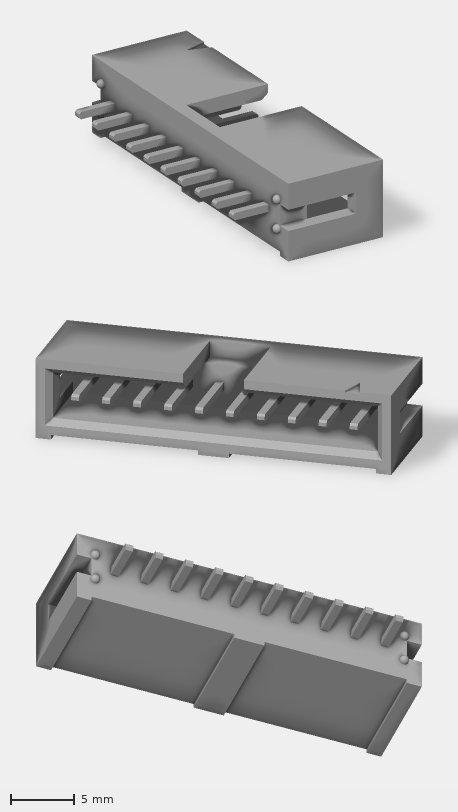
import cadquery as cq


LENGTH = 29.2
DEPTH = 8.82
HEIGHT = 6.35
WALL = 1.25
BASE = 2.55
PITCH = 2.55
PIN_COUNT = 10

FOOT_HEIGHT = 0.38
MIDDLE_FOOT_WIDTH = 2.55

MOUTH_CHAMFER_DEPTH = 0.58
MOUTH_CHAMFER_INSET = 0.5

KEY_SLOT_WIDTH = 5.0
KEY_SLOT_DEPTH = 7.62
KEY_SLOT_CUT = 1.4
WINDOW_HEIGHT = 1.85
WINDOW_MARGIN = 2.55

MARK_WIDTH = 1.23
MARK_LENGTH = 2.05
MARK_DEPTH = 0.18

BUMP_RADIUS = 0.38
BUMP_COLLAR = 0.1
BUMP_INSET = 1.52
BUMP_SPACING = 2.55

TAIL_LENGTH = 3.35
PIN_HEIGHT = 0.65
PIN_WIDTH = 0.65
PIN_SETBACK = 0.25
TIP_CHAMFER = 0.18

HALF_LENGTH = LENGTH / 2
TOP = HEIGHT / 2
BOTTOM = -HEIGHT / 2
CAVITY_LENGTH = LENGTH - 2 * WALL
CAVITY_HEIGHT = HEIGHT - 2 * WALL
PIN_END_Y = DEPTH - PIN_SETBACK
PIN_XS = [(i - (PIN_COUNT - 1) / 2) * PITCH for i in range(PIN_COUNT)]
MIDDLE_PINS = (PIN_COUNT // 2 - 1, PIN_COUNT // 2)
LOOSE_PIN_XS = [PIN_XS[i] for i in MIDDLE_PINS]
FIXED_PIN_XS = [x for i, x in enumerate(PIN_XS) if i not in MIDDLE_PINS]


def block(x_range, y_range, z_range):
    """Axis-aligned box given by its limits on each axis."""
    limits = (x_range, y_range, z_range)
    sizes = [high - low for low, high in limits]
    corner = cq.Vector(*[low for low, high in limits])
    return cq.Workplane("XY").box(*sizes, centered=False).translate(corner)


def span(centre, width):
    """Lower and upper limit of a width laid about a centre."""
    return (centre - width / 2, centre + width / 2)


def make_pin(x):
    """Bar along Y through the base, both tips bevelled above and below."""
    pin = block(span(x, PIN_WIDTH), (-TAIL_LENGTH, PIN_END_Y), span(0, PIN_HEIGHT))
    return pin.faces("<Y or >Y").edges("|X").chamfer(TIP_CHAMFER)


def make_cavity():
    """Pocket open toward +Y with a lead-in bevel around its mouth."""
    pocket = block(span(0, CAVITY_LENGTH), (BASE, DEPTH), span(0, CAVITY_HEIGHT))
    lead_in = (
        cq.Workplane("XZ", origin=(0, DEPTH, 0))
        .rect(CAVITY_LENGTH + 2 * MOUTH_CHAMFER_INSET, CAVITY_HEIGHT + 2 * MOUTH_CHAMFER_INSET)
        .workplane(offset=MOUTH_CHAMFER_DEPTH)
        .rect(CAVITY_LENGTH, CAVITY_HEIGHT)
        .loft(ruled=True)
    )
    return pocket.union(lead_in)


def make_feet():
    """Three standoffs under the housing, running its full depth."""
    z_range = (BOTTOM - FOOT_HEIGHT, BOTTOM)
    left = block((-HALF_LENGTH, -HALF_LENGTH + WALL), (0, DEPTH), z_range)
    middle = block(span(0, MIDDLE_FOOT_WIDTH), (0, DEPTH), z_range)
    right = block((HALF_LENGTH - WALL, HALF_LENGTH), (0, DEPTH), z_range)
    return [left, middle, right]


def make_end_windows():
    """Slots through both end walls, open at the solder face."""
    y_range = (0, DEPTH - WINDOW_MARGIN)
    z_range = span(0, WINDOW_HEIGHT)
    left = block((-HALF_LENGTH, -HALF_LENGTH + WALL), y_range, z_range)
    right = block((HALF_LENGTH - WALL, HALF_LENGTH), y_range, z_range)
    return [left, right]


def make_key_slot():
    """Polarising slot through the top wall, running a little into the base."""
    return block(span(0, KEY_SLOT_WIDTH), (DEPTH - KEY_SLOT_DEPTH, DEPTH), (TOP - KEY_SLOT_CUT, TOP))


def make_first_pin_mark():
    """Shallow V in the top face pointing at the first pin."""
    x = PIN_XS[0]
    corners = [(x - MARK_WIDTH / 2, DEPTH), (x + MARK_WIDTH / 2, DEPTH), (x, DEPTH - MARK_LENGTH)]
    return cq.Workplane("XY", origin=(0, 0, TOP)).polyline(corners).close().extrude(-MARK_DEPTH)


def make_bumps():
    """Rounded standoffs at the ends of the solder face."""
    x = HALF_LENGTH - BUMP_INSET
    z = BUMP_SPACING / 2
    centres = [(bump_x, bump_z) for bump_x in (-x, x) for bump_z in (-z, z)]
    collars = cq.Workplane("XZ").pushPoints(centres).circle(BUMP_RADIUS).extrude(BUMP_COLLAR)
    domes = cq.Workplane("XZ", origin=(0, -BUMP_COLLAR, 0)).pushPoints(centres).sphere(BUMP_RADIUS)
    return collars.union(domes)


def make_housing():
    """Shroud with its feet and bumps, and the eight fixed pins joined to the base."""
    housing = block(span(0, LENGTH), (0, DEPTH), (BOTTOM, TOP))
    for addition in make_feet() + [make_bumps()]:
        housing = housing.union(addition)

    cuts = make_end_windows() + [make_cavity(), make_key_slot(), make_first_pin_mark()]
    for cut in cuts:
        housing = housing.cut(cut)
    for x in FIXED_PIN_XS:
        housing = housing.union(make_pin(x))
    return housing


loose_pins = [make_pin(x) for x in LOOSE_PIN_XS]

housing = make_housing()
for pin in loose_pins:
    housing = housing.cut(pin)

result = cq.Compound.makeCompound([housing.val(), *[pin.val() for pin in loose_pins]])